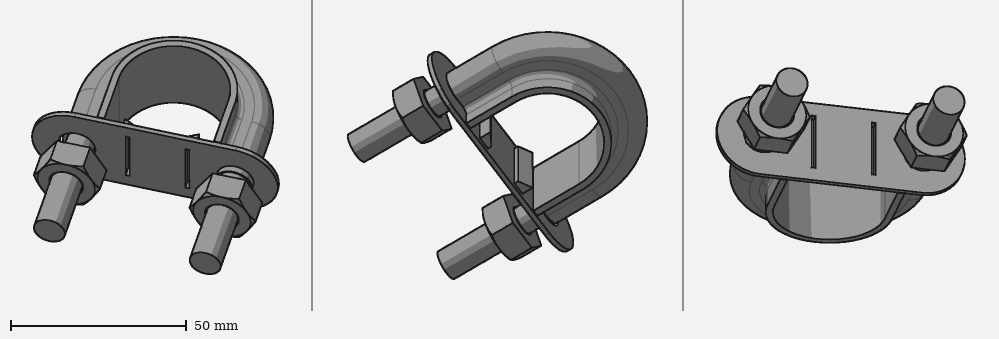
import cadquery as cq
import math

leg_x = 22.95
arc_y = 15.8
tip_y = -34.1
width_z = 25.0

bar_d = 8.4
right_neck_d = 8.2
thread_d = 9.2

nut_flats = 16.9
nut_height = 7.9
nut_top_y = -8.1
nut_mouth_d = 10.0
nut_chamfer_angle = 30
nut_corner_d = nut_flats / math.cos(math.pi / 6)

sleeve_d = 11
band_outer_r = 18.2
band_inner_r = 16.15
saddle_end_y = 0.2
sleeve_fillet = 1.9

plate_length = 72.5
plate_thickness = 1.5
plate_x = leg_x - (plate_length - width_z) / 2
left_hole_x = plate_x - leg_x
left_hole_d = 10.8
collar_d = 10.8
collar_bore_d = 10.0
collar_end_y = -3.5

tab_x = 10.9
tab_width = 4.1
tab_tall = 3.5
tab_low = 1.25
tab_length = 20.4
slot_x = 9.4
slot_length = 16.85
slot_width = 1.2
slot_roof = 1.25


def cylinder_y(x, diameter, y_top, y_bottom):
    """Cylinder along Y at the given x, hanging from y_top down to y_bottom."""
    return cq.Workplane("XZ", origin=(x, y_top, 0)).circle(diameter / 2).extrude(y_top - y_bottom)


def half_torus(diameter):
    """Half ring about the bend centre, on its +Y side."""
    return (
        cq.Workplane("XZ", origin=(-leg_x, arc_y, 0))
        .circle(diameter / 2)
        .revolve(180, (leg_x, 0, 0), (leg_x, -1, 0))
    )


def arch(radius, height):
    """Solid arch: half disc with straight legs down to the saddle end, centred on z = 0."""
    return (
        cq.Workplane("XY", origin=(0, 0, -height / 2))
        .moveTo(-radius, saddle_end_y)
        .lineTo(-radius, arc_y)
        .threePointArc((0, arc_y + radius), (radius, arc_y))
        .lineTo(radius, saddle_end_y)
        .close()
        .extrude(height)
    )


def make_u_bolt():
    bolt = half_torus(bar_d)
    for x, neck_d in ((-leg_x, bar_d), (leg_x, right_neck_d)):
        bolt = bolt.union(cylinder_y(x, neck_d, arc_y, nut_top_y))
        bolt = bolt.union(cylinder_y(x, thread_d, nut_top_y, tip_y))
    return bolt


def make_saddle(u_bolt):
    band = arch(band_outer_r, width_z)
    web = arch(leg_x, sleeve_d)
    margin = 0.1
    corner_x = band_outer_r + margin
    corner_z = sleeve_d / 2 + margin
    web_roots = cq.selectors.BoxSelector(
        (-corner_x, saddle_end_y - margin, -corner_z),
        (corner_x, arc_y + corner_x, corner_z),
        boundingbox=True,
    )
    saddle = band.union(web).edges(web_roots).fillet(sleeve_fillet)

    saddle = saddle.union(half_torus(sleeve_d))
    for x in (-leg_x, leg_x):
        saddle = saddle.union(cylinder_y(x, sleeve_d, arc_y, saddle_end_y))
    return saddle.cut(arch(band_inner_r, width_z)).cut(u_bolt)


def louvre_height(x):
    """Height of the left tab's sloped face at the given x."""
    return tab_tall - (x + tab_x) * (tab_tall - tab_low) / tab_width


def louvre_prism(x_start, width, length, drop):
    """Prism along Z, from the plate's underside, whose top follows the left tab's slope, lowered by drop."""
    x_end = x_start + width
    outline = [
        (x_start, -plate_thickness),
        (x_start, louvre_height(x_start) - drop),
        (x_end, louvre_height(x_end) - drop),
        (x_end, -plate_thickness),
    ]
    return cq.Workplane("XY").polyline(outline).close().extrude(length / 2, both=True)


def make_plate():
    plate = (
        cq.Workplane("XZ", origin=(plate_x, 0, 0))
        .slot2D(plate_length, width_z)
        .extrude(plate_thickness)
    )
    plate = plate.cut(cylinder_y(left_hole_x, left_hole_d, 0, -plate_thickness))

    plate = plate.union(cylinder_y(leg_x, collar_d, 0, collar_end_y))
    plate = plate.cut(cylinder_y(leg_x, collar_bore_d, 0, collar_end_y))

    tab = louvre_prism(-tab_x, tab_width, tab_length, 0)
    slot = louvre_prism(-slot_x, slot_width, slot_length, slot_roof)
    plate = plate.union(tab).union(tab.mirror("YZ"))
    return plate.cut(slot).cut(slot.mirror("YZ"))


def make_nut(x):
    """Hexagon nut with a plain upper face and a chamfered, countersunk lower face."""
    nut = (
        cq.Workplane("XZ", origin=(x, nut_top_y, 0))
        .polygon(6, nut_corner_d)
        .extrude(nut_height)
    )
    corner_r = nut_corner_d / 2
    face_r = nut_flats / 2
    chamfer_height = (corner_r - face_r) * math.tan(math.radians(nut_chamfer_angle))
    bottom_y = nut_top_y - nut_height
    blank = (
        cq.Workplane("XY", origin=(x, 0, 0))
        .moveTo(0, nut_top_y)
        .lineTo(corner_r, nut_top_y)
        .lineTo(corner_r, bottom_y + chamfer_height)
        .lineTo(face_r, bottom_y)
        .lineTo(0, bottom_y)
        .close()
        .revolve(360, (0, 0, 0), (0, 1, 0))
    )
    nut = nut.intersect(blank).cut(cylinder_y(x, thread_d, nut_top_y, bottom_y))
    bore_rim = nut.faces("<Y").edges(cq.selectors.RadiusNthSelector(0))
    return bore_rim.chamfer((nut_mouth_d - thread_d) / 2)


u_bolt = make_u_bolt()
saddle = make_saddle(u_bolt)
plate = make_plate()
nuts = [make_nut(x) for x in (-leg_x, leg_x)]

result = cq.Compound.makeCompound([u_bolt.val(), saddle.val(), plate.val(), *[nut.val() for nut in nuts]])